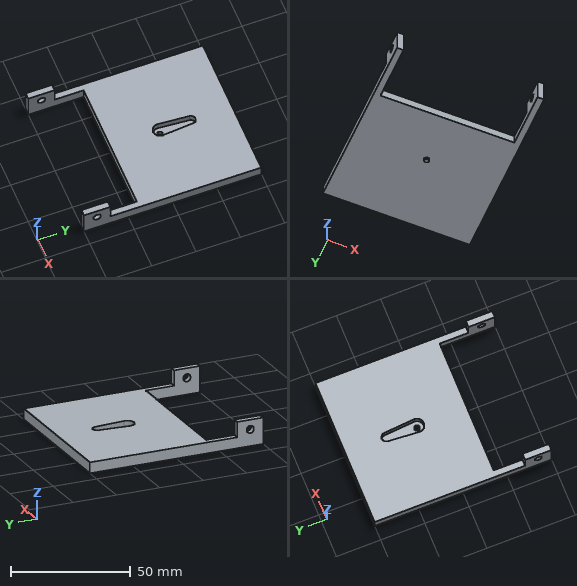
import cadquery as cq
import math

width = 67.0
length = 80.0
ear_height = 12.0

plate_thickness = 5.0
plate_length = 55.0
arm_thickness = 3.0

ear_length = 12.0
pivot_diameter = 3.3
pivot_height = 7.6
pivot_from_front = ear_length / 2

wide_radius = 3.0
narrow_radius = 2.0
wide_end_y = 47.4
narrow_end_y = 61.4
recess_depth = 3.0
screw_diameter = 2.4


def make_plate():
    """Flat plate between the arms, flush with their rear ends."""
    return cq.Workplane("XY").box(
        width, plate_length, plate_thickness, centered=(True, False, False)
    ).translate((0, length - plate_length, 0))


def make_arm(start_x):
    """L-shaped side arm with a pivot hole through its ear."""
    arm = (
        cq.Workplane("YZ", origin=(start_x, 0, 0))
        .moveTo(0, 0)
        .lineTo(length, 0)
        .lineTo(length, plate_thickness)
        .lineTo(ear_length, plate_thickness)
        .lineTo(ear_length, ear_height)
        .lineTo(0, ear_height)
        .close()
        .extrude(arm_thickness)
    )
    pivot = (
        cq.Workplane("YZ", origin=(start_x, 0, 0))
        .center(pivot_from_front, pivot_height)
        .circle(pivot_diameter / 2)
        .extrude(arm_thickness)
    )
    return arm.cut(pivot)


def make_recess():
    """Teardrop pocket: two round ends joined by their common tangents."""
    spacing = narrow_end_y - wide_end_y
    angle = math.asin((wide_radius - narrow_radius) / spacing)
    across = math.cos(angle)
    along = math.sin(angle)
    wide_x = wide_radius * across
    wide_y = wide_end_y + wide_radius * along
    narrow_x = narrow_radius * across
    narrow_y = narrow_end_y + narrow_radius * along
    return (
        cq.Workplane("XY", origin=(0, 0, plate_thickness - recess_depth))
        .moveTo(wide_x, wide_y)
        .lineTo(narrow_x, narrow_y)
        .threePointArc((0, narrow_end_y + narrow_radius), (-narrow_x, narrow_y))
        .lineTo(-wide_x, wide_y)
        .threePointArc((0, wide_end_y - wide_radius), (wide_x, wide_y))
        .close()
        .extrude(recess_depth)
    )


def make_screw_hole():
    """Round hole through the full plate thickness."""
    return (
        cq.Workplane("XY")
        .center(0, wide_end_y)
        .circle(screw_diameter / 2)
        .extrude(plate_thickness)
    )


result = make_plate()
for arm_start_x in (-width / 2, width / 2 - arm_thickness):
    result = result.union(make_arm(arm_start_x))
result = result.cut(make_recess()).cut(make_screw_hole())